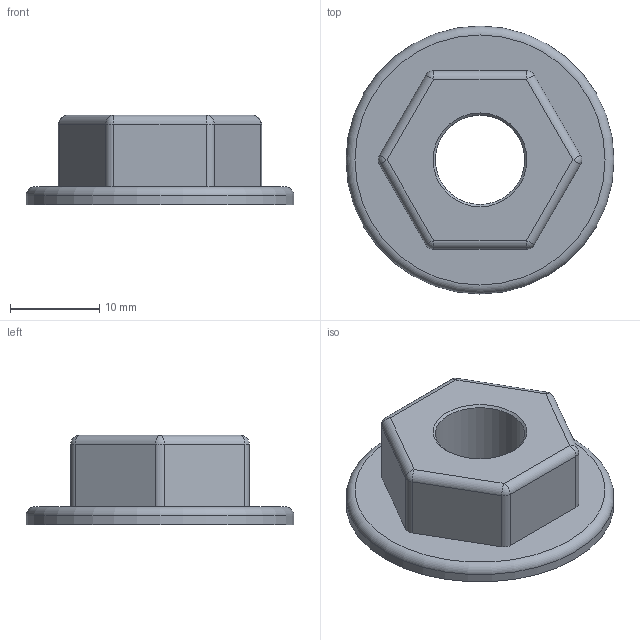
import cadquery as cq
import math

flange_diameter = 30.0
flange_thickness = 2.0
total_height = 10.0
hex_sides = 6
hex_across_flats = 20.0
bore_diameter = 10.0
edge_radius = 1.0
bore_chamfer = 0.25

hex_across_corners = hex_across_flats / math.cos(math.pi / hex_sides)


def make_flange():
    """Round washer-like base with a rounded upper rim."""
    disc = cq.Workplane("XY").circle(flange_diameter / 2).extrude(flange_thickness)
    return disc.faces(">Z").edges().fillet(edge_radius)


def make_hex_body():
    """Hexagonal prism from the base plane, corners along X, with rounded corners and top edge."""
    prism = cq.Workplane("XY").polygon(hex_sides, hex_across_corners).extrude(total_height)
    rounded_corners = prism.edges("|Z").fillet(edge_radius)
    return rounded_corners.faces(">Z").edges().fillet(edge_radius)


def make_bore():
    """Through bore that widens in a small chamfer at the top face."""
    bore_radius = bore_diameter / 2
    half_profile = (
        cq.Workplane("XZ")
        .lineTo(bore_radius, 0)
        .lineTo(bore_radius, total_height - bore_chamfer)
        .lineTo(bore_radius + bore_chamfer, total_height)
        .lineTo(0, total_height)
        .close()
    )
    return half_profile.revolve(360, (0, 0, 0), (0, 1, 0))


result = make_flange().union(make_hex_body()).cut(make_bore())